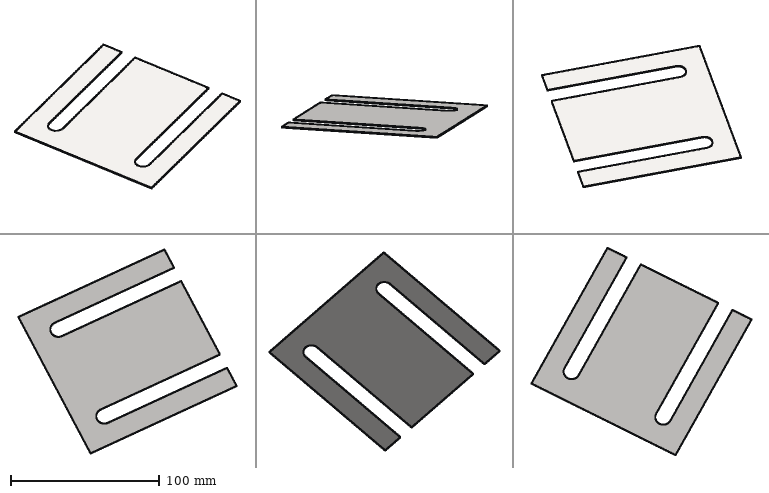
import cadquery as cq

side = 110.0
thickness = 0.81

slot_width = 10.8
slot_spacing = 70.0
slot_depth = 95.2


def open_slot(center_x):
    """Cutter for one slot running from the +Y edge to its round end."""
    radius = slot_width / 2
    open_y = side / 2
    end_y = open_y - slot_depth
    arc_y = end_y + radius
    return (
        cq.Workplane("XY")
        .moveTo(center_x - radius, open_y)
        .lineTo(center_x - radius, arc_y)
        .threePointArc((center_x, end_y), (center_x + radius, arc_y))
        .lineTo(center_x + radius, open_y)
        .close()
        .extrude(thickness, both=True)
    )


result = cq.Workplane("XY").box(side, side, thickness)
for slot_x in (-slot_spacing / 2, slot_spacing / 2):
    result = result.cut(open_slot(slot_x))